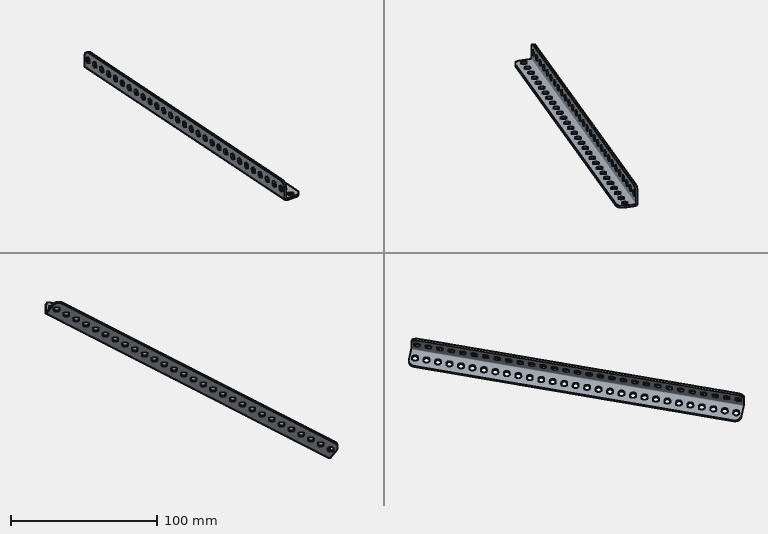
import cadquery as cq

length = 232.0
leg = 14.5
thickness = 1.6

inner_bend_radius = 0.7
outer_bend_radius = inner_bend_radius + thickness

corner_radius = 4.6

hole_count = 29
hole_pitch = length / hole_count
hole_radius = 2.13
hole_height = 8.1


def angle_strip():
    """L-shaped strip along X, with a rounded bend along its outer edge at Y = Z = 0."""
    profile = (
        cq.Workplane("YZ")
        .moveTo(0, 0)
        .lineTo(leg, 0)
        .lineTo(leg, thickness)
        .lineTo(thickness, thickness)
        .lineTo(thickness, leg)
        .lineTo(0, leg)
        .close()
    )
    strip = profile.extrude(length / 2, both=True)
    inner_edge = cq.selectors.NearestToPointSelector((0, thickness, thickness))
    outer_edge = cq.selectors.NearestToPointSelector((0, 0, 0))
    strip = strip.edges("|X").edges(inner_edge).fillet(inner_bend_radius)
    return strip.edges("|X").edges(outer_edge).fillet(outer_bend_radius)


def round_free_corners(strip):
    """Round the two end corners of the upright leg and of the flat leg."""
    strip = strip.faces(">Z").edges("|Y").fillet(corner_radius)
    return strip.faces(">Y").edges("|Z").fillet(corner_radius)


def hole_row(plane, drill_depth):
    """Row of drills along X, starting on the outer face of one leg."""
    return (
        cq.Workplane(plane)
        .center(0, hole_height)
        .rarray(hole_pitch, 2.3, hole_count, 1)
        .circle(hole_radius)
        .extrude(drill_depth)
    )


result = round_free_corners(angle_strip())
result = result.cut(hole_row("XY", thickness))
result = result.cut(hole_row("XZ", -thickness))